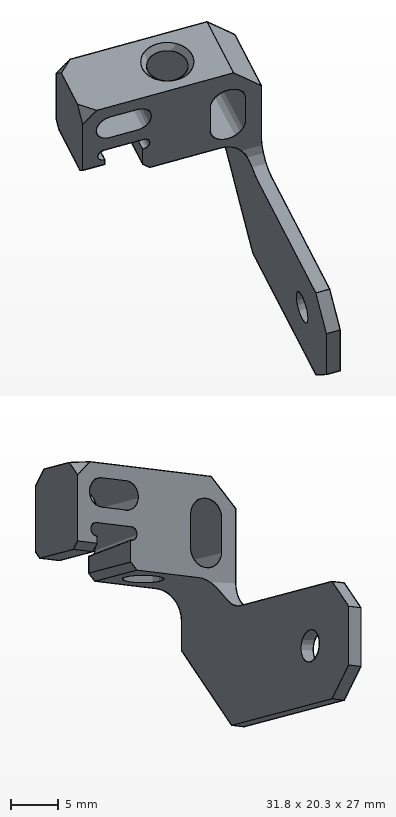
import cadquery as cq
import math

LENGTH = 31.75
DEPTH = 20.32
SIXTEENTH = 25.4 / 16
PLATE_THICKNESS = SIXTEENTH
PLATE_HEIGHT = 8 * SIXTEENTH
HEIGHT = 17 * SIXTEENTH
BLOCK_WIDTH = 8.0
BLOCK_HEIGHT = 7 * SIXTEENTH
FILLET_RADIUS = 2 * SIXTEENTH
LARGE_CHAMFER = 2 * SIXTEENTH
HEEL_CHAMFER = 6 * SIXTEENTH
SMALL_CHAMFER = SIXTEENTH / 2
CORNER_CUT = SIXTEENTH
BLOCK_BOTTOM = HEIGHT - BLOCK_HEIGHT

PLATE_HOLE_X = 24.43
PLATE_HOLE_DIAMETER = 3.45

BLOCK_HOLE_Y = -9.2
BLOCK_HOLE_DIAMETER = 4.4
COUNTERSINK_DIAMETER = 5.65
COUNTERSINK_ANGLE = 90

REAR_SLOT_Y = -3.82
REAR_SLOT_DROP = 6.19
REAR_SLOT_WIDTH = 4.0
REAR_SLOT_LENGTH = 7.5
FRONT_SLOT_DROP = 2 * SIXTEENTH
FRONT_SLOT_WIDTH = 2 * SIXTEENTH
FRONT_SLOT_LENGTH = 6.25

CHANNEL_Y = -15.65
CHANNEL_WIDTH = 4.3
UNDERCUT_LENGTH = 5.9
UNDERCUT_WIDTH = 1.45
UNDERCUT_DROP = 7.77
UNDERCUT_TILT = 3.9
TOE_BOTTOM = HEIGHT - 6 * SIXTEENTH
CHANNEL_REAR = CHANNEL_Y + CHANNEL_WIDTH / 2
CHANNEL_FRONT = CHANNEL_Y - CHANNEL_WIDTH / 2
UNDERCUT_Z = HEIGHT - UNDERCUT_DROP


def front_outline():
    """Block column and plate outline in XZ, extruded over the full depth."""
    return (
        cq.Workplane("XZ")
        .moveTo(0, HEIGHT)
        .lineTo(BLOCK_WIDTH, HEIGHT)
        .lineTo(BLOCK_WIDTH, PLATE_HEIGHT + FILLET_RADIUS)
        .radiusArc((BLOCK_WIDTH + FILLET_RADIUS, PLATE_HEIGHT), -FILLET_RADIUS)
        .lineTo(LENGTH - LARGE_CHAMFER, PLATE_HEIGHT)
        .lineTo(LENGTH, PLATE_HEIGHT - LARGE_CHAMFER)
        .lineTo(LENGTH, LARGE_CHAMFER)
        .lineTo(LENGTH - LARGE_CHAMFER, 0)
        .lineTo(HEEL_CHAMFER, 0)
        .lineTo(0, HEEL_CHAMFER)
        .close()
        .extrude(DEPTH)
    )


def side_outline():
    """Bracket outline in YZ with the channel mouth, extruded over the full length."""
    return (
        cq.Workplane("YZ")
        .moveTo(0, 0)
        .lineTo(0, HEIGHT - LARGE_CHAMFER)
        .lineTo(-LARGE_CHAMFER, HEIGHT)
        .lineTo(-DEPTH, HEIGHT)
        .lineTo(-DEPTH, TOE_BOTTOM)
        .lineTo(CHANNEL_FRONT, TOE_BOTTOM)
        .lineTo(CHANNEL_FRONT, UNDERCUT_Z)
        .lineTo(CHANNEL_REAR, UNDERCUT_Z)
        .lineTo(CHANNEL_REAR, BLOCK_BOTTOM + SMALL_CHAMFER)
        .lineTo(CHANNEL_REAR + SMALL_CHAMFER, BLOCK_BOTTOM)
        .lineTo(-PLATE_THICKNESS - FILLET_RADIUS, BLOCK_BOTTOM)
        .radiusArc((-PLATE_THICKNESS, BLOCK_BOTTOM - FILLET_RADIUS), FILLET_RADIUS)
        .lineTo(-PLATE_THICKNESS, 0)
        .close()
        .extrude(LENGTH)
    )


def block_slot(y, drop, length, width, angle):
    """Round-ended slot through the block along X, centred at a drop below the top."""
    return (
        cq.Workplane("YZ")
        .center(y, HEIGHT - drop)
        .slot2D(length, width, angle)
        .extrude(BLOCK_WIDTH)
    )


def undercut():
    """Round-ended undercut of the channel, rising toward +X."""
    slope = math.radians(UNDERCUT_TILT)
    direction = cq.Vector(math.cos(slope), 0, math.sin(slope))
    overrun = BLOCK_WIDTH / 2
    cut_length = BLOCK_WIDTH + 2 * overrun
    origin = cq.Vector(0, CHANNEL_Y, UNDERCUT_Z) - direction * overrun
    plane = cq.Plane(origin=origin, xDir=(0, 1, 0), normal=direction)
    return cq.Workplane(plane).slot2D(UNDERCUT_LENGTH, UNDERCUT_WIDTH).extrude(cut_length)


def plate_hole():
    """Plain hole through the plate along Y."""
    return (
        cq.Workplane("XZ")
        .center(PLATE_HOLE_X, PLATE_HEIGHT / 2)
        .circle(PLATE_HOLE_DIAMETER / 2)
        .extrude(PLATE_THICKNESS)
    )


def drill_block(body):
    """Countersunk hole from the top of the block through to its underside."""
    return (
        body.copyWorkplane(cq.Workplane("XY", origin=(BLOCK_WIDTH / 2, BLOCK_HOLE_Y, HEIGHT)))
        .cskHole(BLOCK_HOLE_DIAMETER, COUNTERSINK_DIAMETER, COUNTERSINK_ANGLE, BLOCK_HEIGHT)
    )


def corner_cutter(x, inward):
    """Tetrahedron that takes off one upper front corner of the block."""
    corner = cq.Vector(x, -DEPTH, HEIGHT)
    along_x = corner + cq.Vector(inward * CORNER_CUT, 0, 0)
    along_y = corner + cq.Vector(0, CORNER_CUT, 0)
    along_z = corner - cq.Vector(0, 0, CORNER_CUT)
    triangles = [
        (corner, along_x, along_y),
        (corner, along_y, along_z),
        (corner, along_z, along_x),
        (along_x, along_y, along_z),
    ]
    faces = [cq.Face.makeFromWires(cq.Wire.makePolygon(points, close=True)) for points in triangles]
    return cq.Workplane(cq.Solid.makeSolid(cq.Shell.makeShell(faces)))


def toe_cutter(x, inward):
    """Prism that chamfers one lower side edge of the toe in front of the channel."""
    return (
        cq.Workplane("XZ", origin=(0, CHANNEL_FRONT, 0))
        .moveTo(x, TOE_BOTTOM)
        .lineTo(x + inward * SMALL_CHAMFER, TOE_BOTTOM)
        .lineTo(x, TOE_BOTTOM + SMALL_CHAMFER)
        .close()
        .extrude(DEPTH + CHANNEL_FRONT)
    )


body = front_outline().intersect(side_outline())
body = body.cut(block_slot(REAR_SLOT_Y, REAR_SLOT_DROP, REAR_SLOT_LENGTH, REAR_SLOT_WIDTH, 90))
body = body.cut(block_slot(CHANNEL_Y, FRONT_SLOT_DROP, FRONT_SLOT_LENGTH, FRONT_SLOT_WIDTH, 0))
body = body.cut(undercut())
body = body.cut(plate_hole())
for side_x, inward_sign in ((0, 1), (BLOCK_WIDTH, -1)):
    body = body.cut(corner_cutter(side_x, inward_sign))
    body = body.cut(toe_cutter(side_x, inward_sign))
result = drill_block(body)